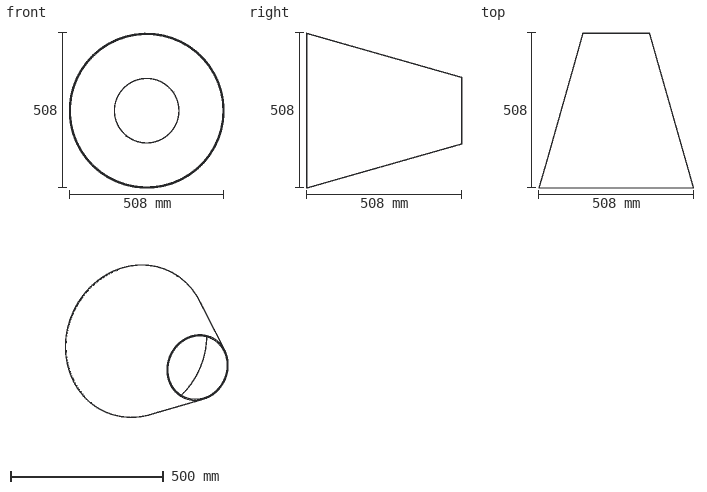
import cadquery as cq

length = 508.0
large_diameter = 508.0
small_diameter = 219.0
wall = 4.0

large_radius = large_diameter / 2
small_radius = small_diameter / 2

wall_section = [
    (large_radius - wall, 0),
    (large_radius, 0),
    (small_radius, length),
    (small_radius - wall, length),
]

result = (
    cq.Workplane("XY")
    .polyline(wall_section)
    .close()
    .revolve(360, (0, 0, 0), (0, 1, 0))
)